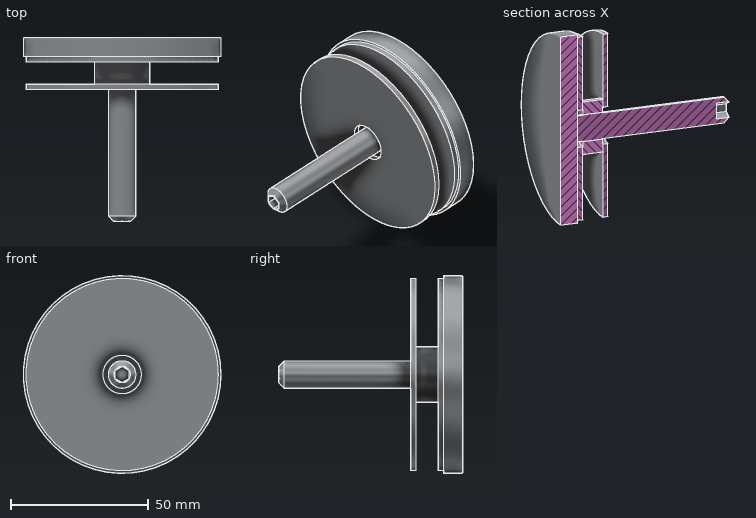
import cadquery as cq
import math

cap_diameter = 72
cap_thickness = 7.0
cap_edge_radius = 0.5

washer_diameter = 70.0
washer_thickness = 2.0
washer_hole_diameter = 14.0

spacer_diameter = 20.2
spacer_length = 8.0

stud_diameter = 10.0
overall_length = 67.0
stud_tip_chamfer = 2.0

socket_across_flats = 5.1
socket_depth = 5.0

inner_washer_back = -cap_thickness
spacer_back = inner_washer_back - washer_thickness
outer_washer_back = spacer_back - spacer_length
stud_length = overall_length - cap_thickness


def disc(diameter, length, back):
    """Cylinder on the Y axis running from Y = back towards -Y."""
    return cq.Workplane("XZ", origin=(0, back, 0)).circle(diameter / 2).extrude(length)


def make_cap():
    """Plain disc with a rounded back edge."""
    return disc(cap_diameter, cap_thickness, 0).faces(">Y").edges().fillet(cap_edge_radius)


def make_washer(back):
    """Flat washer with a clearance hole around the stud."""
    hole = disc(washer_hole_diameter, washer_thickness, back)
    return disc(washer_diameter, washer_thickness, back).cut(hole)


def make_spacer():
    """Tube between the washers, fitting closely around the stud."""
    tube = disc(spacer_diameter, spacer_length, spacer_back)
    return tube.cut(disc(stud_diameter, spacer_length, spacer_back))


def make_stud():
    """Rod standing on the cap, with a chamfered tip and a hexagon socket."""
    rod = disc(stud_diameter, stud_length, -cap_thickness)
    rod = rod.faces("<Y").edges().chamfer(stud_tip_chamfer)
    across_corners = socket_across_flats / math.cos(math.radians(30))
    socket = (
        cq.Workplane("XZ", origin=(0, socket_depth - overall_length, 0))
        .transformed(rotate=(0, 0, 90))
        .polygon(6, across_corners)
        .extrude(socket_depth)
    )
    return rod.cut(socket)


cap = make_cap()
washers = [make_washer(back) for back in (inner_washer_back, outer_washer_back)]
spacer = make_spacer()
stud = make_stud()

result = cq.Compound.makeCompound(
    [cap.val(), *[washer.val() for washer in washers], spacer.val(), stud.val()]
)